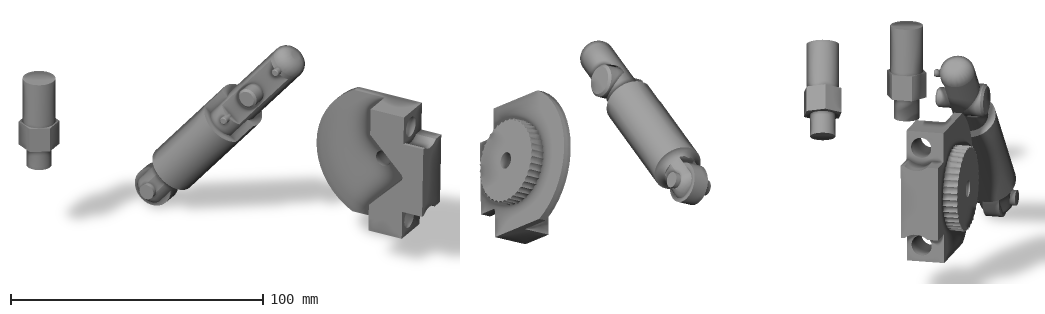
import cadquery as cq
import math

BOLT_X, BOLT_Y = -72.5, -25.8
BOLT_TIP_Z = -11.8
THREAD_DIA, THREAD_LENGTH = 10.0, 9.0
HEX_FLATS, HEX_HEIGHT = 14.0, 10.2
SHANK_DIA, SHANK_LENGTH = 13.0, 19.0

WHEEL_X, WHEEL_Y, WHEEL_Z = -43.3, 18.8, -32.8
TILT = 48.7
ROD_DIA = 14.0
BARREL_DIA = 20.0
BARREL_START, BARREL_END = 11.0, 57.8
BARREL_FILLET = (BARREL_DIA - ROD_DIA) / 2
NECK_START = BARREL_START - BARREL_FILLET
END_RADIUS = 5.0
ROD_END = 94.4
FORK_END = -6.5
NOTCH_START = 46.3
NOTCH_OFFSET = 3.7
FLAT_START, FLAT_END = 54.1, 87.2
FLAT_OFFSET = 4.8
FORK_SLOT_WIDTH, FORK_SLOT_END = 7.3, 8.9
FORK_FLAT_OFFSET = 6.5
WHEEL_DIA, WHEEL_WIDTH = 16.0, 6.7
AXLE_DIA, AXLE_LENGTH = 6.2, 17.3
STUD_S = 70.3
STUD_DIA, STUD_REACH, STUD_CHAMFER = 8.0, 11.5, 0.8
BOSS_DIA, BOSS_REACH, BOSS_CHAMFER = 13.0, 8.8, 1.0
SEAT_DIA, SEAT_OFFSET = 14.3, 0.6
PIN_DIA, PIN_REACH, PIN_CHAMFER = 3.0, 9.5, 0.3
PIN_SPACING = 35.2

DISC_X, DISC_Z = 55.4, -1.6
BRACKET_TURN = 1.1
BACK_Y = 28.0
PLATE_THICKNESS = 3.3
BLOCK_DEPTH = 15.3
DISC_RADIUS = 30.0
HALF_HEIGHT = 26.9
BLOCK_RIGHT = 15.0
WING_RIGHT, WING_HALF = 23.9, 15.0
VEE_DEPTH = 15.6
VEE_FILLET = 2.0
CENTRE_HOLE_DIA = 6.7
BOLT_HOLE_DIA, BOLT_HOLE_Z = 8.3, 20.2
BOLT_HOLE_Y = WHEEL_Y
HEAD_SEAT_DIA = 14.0
KNOB_DIA, KNOB_HEIGHT = 34.0, 5.9
FLUTES, FLUTE_DEPTH = 40, 0.6


def y_cylinder(s, dia, y_from, y_to):
    """Cylinder along Y at distance s along X."""
    length = y_to - y_from
    return cq.Workplane("XZ", origin=(s, y_from, 0)).circle(dia / 2).extrude(-length)


def make_bolt():
    body = cq.Workplane("XY").circle(THREAD_DIA / 2).extrude(THREAD_LENGTH)
    hexagon_across_corners = HEX_FLATS / math.cos(math.pi / 6)
    body = (
        body.faces(">Z").workplane()
        .transformed(rotate=(0, 0, 90))
        .polygon(6, hexagon_across_corners)
        .extrude(HEX_HEIGHT)
    )
    body = body.faces(">Z").workplane().circle(SHANK_DIA / 2).extrude(SHANK_LENGTH)
    return body.translate((BOLT_X, BOLT_Y, BOLT_TIP_Z))


def rod_and_barrel():
    """Turned rod with the larger barrel around its lower half."""
    rod = cq.Workplane("YZ", origin=(FORK_END, 0, 0)).circle(ROD_DIA / 2).extrude(ROD_END - FORK_END)
    rod = rod.faces("<X or >X").edges().fillet(END_RADIUS)

    rod_radius = ROD_DIA / 2
    barrel_radius = BARREL_DIA / 2
    barrel = (
        cq.Workplane("XY")
        .lineTo(0, rod_radius)
        .lineTo(NECK_START, rod_radius)
        .tangentArcPoint((BARREL_START, barrel_radius), relative=False)
        .lineTo(BARREL_END, barrel_radius)
        .lineTo(BARREL_END, 0)
        .close()
        .revolve(360, (0, 0, 0), (1, 0, 0))
    )
    return rod, barrel


def front_cut(s_from, s_to, offset):
    """Block that removes everything in front of a plane, offset forward of the axis."""
    size = BARREL_DIA
    return (
        cq.Workplane("XY")
        .box(s_to - s_from, size, size, centered=(False, False, True))
        .translate((s_from, -offset - size, 0))
    )


def make_plunger():
    rod, barrel = rod_and_barrel()
    barrel = barrel.cut(front_cut(NOTCH_START, BARREL_END, NOTCH_OFFSET))
    body = rod.union(barrel)
    body = body.cut(front_cut(FLAT_START, FLAT_END, FLAT_OFFSET))

    slot_length = FORK_SLOT_END - FORK_END
    slot = (
        cq.Workplane("XY")
        .box(slot_length, FORK_SLOT_WIDTH, ROD_DIA, centered=(False, True, True))
        .translate((FORK_END, 0, 0))
    )
    cheek_flat = front_cut(FORK_END, NECK_START, FORK_FLAT_OFFSET)
    body = body.cut(slot).cut(cheek_flat).cut(cheek_flat.mirror("XZ"))

    wheel = y_cylinder(0, WHEEL_DIA, -WHEEL_WIDTH / 2, WHEEL_WIDTH / 2)
    axle = y_cylinder(0, AXLE_DIA, -AXLE_LENGTH / 2, AXLE_LENGTH / 2)
    body = body.union(wheel).union(axle)

    body = body.cut(y_cylinder(STUD_S, SEAT_DIA, SEAT_OFFSET, ROD_DIA))
    stud = y_cylinder(STUD_S, STUD_DIA, -STUD_REACH, 0).faces("<Y").chamfer(STUD_CHAMFER)
    boss = y_cylinder(STUD_S, BOSS_DIA, 0, BOSS_REACH).faces(">Y").chamfer(BOSS_CHAMFER)
    body = body.union(stud).union(boss)

    for side in (-1, 1):
        pin_s = STUD_S + side * PIN_SPACING / 2
        pin = y_cylinder(pin_s, PIN_DIA, -PIN_REACH, 0).faces("<Y").chamfer(PIN_CHAMFER)
        body = body.union(pin)

    body = body.rotate((0, 0, 0), (0, 1, 0), -TILT)
    return body.translate((WHEEL_X, WHEEL_Y, WHEEL_Z))


def fluted_knob():
    """Disc whose rim is a ring of concave flutes meeting in sharp crests."""
    crest_radius = KNOB_DIA / 2
    pitch = 2 * math.pi / FLUTES
    root_radius = crest_radius * math.cos(pitch / 2) - FLUTE_DEPTH
    outline = cq.Workplane("XZ", origin=(0, BACK_Y, 0)).moveTo(crest_radius, 0)
    for flute in range(FLUTES):
        middle = (flute + 0.5) * pitch
        end = (flute + 1) * pitch
        outline = outline.threePointArc(
            (root_radius * math.cos(middle), root_radius * math.sin(middle)),
            (crest_radius * math.cos(end), crest_radius * math.sin(end)),
        )
    return outline.close().extrude(-KNOB_HEIGHT)


def make_bracket():
    back = cq.Workplane("XZ", origin=(0, BACK_Y, 0))

    arc_x = -math.sqrt(DISC_RADIUS**2 - HALF_HEIGHT**2)
    plate = (
        back.moveTo(BLOCK_RIGHT, HALF_HEIGHT)
        .lineTo(arc_x, HALF_HEIGHT)
        .threePointArc((-DISC_RADIUS, 0), (arc_x, -HALF_HEIGHT))
        .lineTo(BLOCK_RIGHT, -HALF_HEIGHT)
        .close()
        .extrude(PLATE_THICKNESS)
    )

    block = (
        back.moveTo(0, HALF_HEIGHT)
        .lineTo(BLOCK_RIGHT, HALF_HEIGHT)
        .lineTo(BLOCK_RIGHT, WING_HALF)
        .lineTo(WING_RIGHT, WING_HALF)
        .lineTo(WING_RIGHT, -WING_HALF)
        .lineTo(BLOCK_RIGHT, -WING_HALF)
        .lineTo(BLOCK_RIGHT, -HALF_HEIGHT)
        .lineTo(0, -HALF_HEIGHT)
        .close()
        .extrude(BLOCK_DEPTH)
    )
    vee = (
        cq.Workplane("XZ", origin=(0, BACK_Y - PLATE_THICKNESS, 0))
        .polyline([(0, VEE_DEPTH), (VEE_DEPTH, 0), (0, -VEE_DEPTH)])
        .close()
        .extrude(BLOCK_DEPTH - PLATE_THICKNESS)
        .edges(">X")
        .fillet(VEE_FILLET)
    )
    body = plate.union(block.cut(vee)).union(fluted_knob())
    body = body.cut(y_cylinder(0, CENTRE_HOLE_DIA, BACK_Y - BLOCK_DEPTH, BACK_Y + KNOB_HEIGHT))

    for side in (-1, 1):
        hole_axis = (0, BOLT_HOLE_Y, side * BOLT_HOLE_Z)
        hole = cq.Workplane("YZ", origin=hole_axis).circle(BOLT_HOLE_DIA / 2).extrude(BLOCK_RIGHT)
        seat = (
            cq.Workplane("YZ", origin=hole_axis)
            .workplane(offset=BLOCK_RIGHT)
            .circle(HEAD_SEAT_DIA / 2)
            .extrude(WING_RIGHT - BLOCK_RIGHT)
        )
        body = body.cut(hole).cut(seat)

    body = body.rotate((0, 0, 0), (0, 1, 0), BRACKET_TURN)
    return body.translate((DISC_X, 0, DISC_Z))


bolt = make_bolt()
plunger = make_plunger()
bracket = make_bracket()

result = cq.Compound.makeCompound([body.solids().val() for body in (bolt, plunger, bracket)])